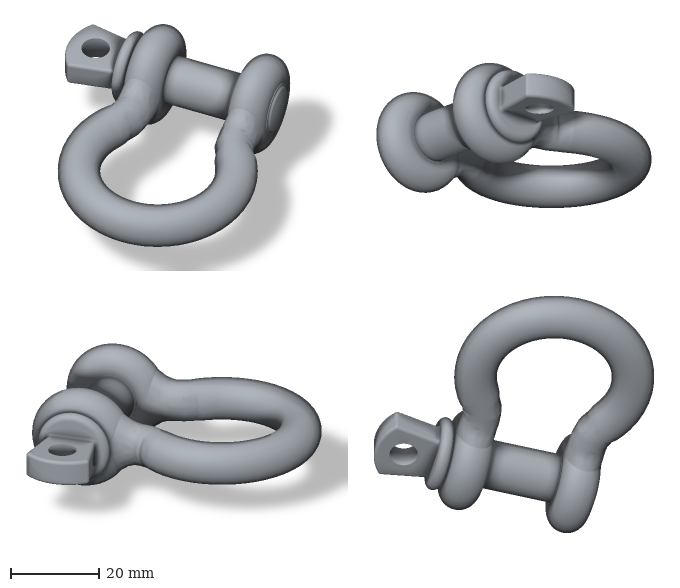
import cadquery as cq
import math


eye_radius = 11.675
eye_width = 8.72
eye_round = eye_width / 2
eye_offset = 12.72
pad_radius = 6.15
pad_height = 0.15

bar_radius = 4.82
bow_radius = 17.86
bow_length = 63.5
bow_center_y = eye_radius - bow_length + bow_radius + bar_radius
bow_end_angle = 30.0

flare_radius = 6.5
flare_center_z = bar_radius + flare_radius
flare_end_y = -math.sqrt((eye_radius + flare_radius) ** 2 - flare_center_z ** 2)
neck_top_y = eye_round - eye_radius
flare_top_y = flare_end_y * eye_radius / (eye_radius + flare_radius)

bend_radius = 10.5
leg_half_width = eye_round - 0.03
bend_angle = math.radians(bow_end_angle)
bow_end_x = bow_radius * math.cos(bend_angle)
bow_end_y = bow_center_y + bow_radius * math.sin(bend_angle)
bend_shift = bend_radius * (1 - math.cos(bend_angle))
straight_run = (bow_end_x - eye_offset - bend_shift) / math.sin(bend_angle)
bend_start_y = bow_end_y + straight_run * math.cos(bend_angle)
bend_end_y = bend_start_y + bend_radius * math.sin(bend_angle)
taper_sections = 4
bend_sections = 5
neck_sections = 4

pin_radius = 5.61
pin_tip_x = 18.16
pin_dome_height = 0.49
pin_end_chamfer = 0.5
collar_radius = 8.42
collar_width = 2.88
collar_gap = 0.38
collar_inner_x = -eye_offset - eye_width / 2 - collar_gap
collar_outer_x = collar_inner_x - collar_width

tab_end_x = -33.84
tab_corner_x = -30.95
tab_neck_x = -21.0
tab_tip_half_width = 7.5
tab_neck_half_width = 5.67
tab_thickness = 5.85
tab_edge_round = 0.75
tab_base_round = 0.64
tab_hole_diameter = 6.45
tab_hole_x = -27.22


def make_eye():
    """Disc with a fully rounded rim, centred on the pin axis at X = eye_offset."""
    rim_start = eye_radius - eye_round
    inner_x = eye_offset - eye_round
    outer_x = eye_offset + eye_round
    return (
        cq.Workplane("XY")
        .moveTo(inner_x, 0)
        .lineTo(inner_x, rim_start)
        .threePointArc((eye_offset, eye_radius), (outer_x, rim_start))
        .lineTo(outer_x, 0)
        .close()
        .revolve(360, (0, 0, 0), (1, 0, 0))
    )


def neck_half_height(y):
    """Half height of the leg: the bar radius, flaring along an arc tangent to the eye."""
    along = min(max(y, flare_end_y), flare_top_y) - flare_end_y
    return flare_center_z - math.sqrt(flare_radius ** 2 - along ** 2)


def leg_section(x, y, angle, half_width):
    """Ellipse square to the leg, whose direction leans from +Y toward -X by angle."""
    return cq.Wire.makeEllipse(
        neck_half_height(y),
        half_width,
        cq.Vector(x, y, 0),
        cq.Vector(-math.sin(angle), math.cos(angle), 0),
        cq.Vector(0, 0, 1),
    )


def make_leg():
    """Leg from the end of the bow to the inside of the eye, on the +X side."""
    sections = []
    for i in range(taper_sections):
        fraction = i / taper_sections
        x = bow_end_x - straight_run * math.sin(bend_angle) * fraction
        y = bow_end_y + straight_run * math.cos(bend_angle) * fraction
        half_width = bar_radius + (leg_half_width - bar_radius) * fraction ** 2
        sections.append(leg_section(x, y, bend_angle, half_width))
    for i in range(bend_sections):
        angle = bend_angle * (1 - i / (bend_sections - 1))
        x = eye_offset + bend_radius * (1 - math.cos(angle))
        y = bend_end_y - bend_radius * math.sin(angle)
        sections.append(leg_section(x, y, angle, leg_half_width))
    for i in range(1, neck_sections + 1):
        y = bend_end_y + (neck_top_y - bend_end_y) * i / neck_sections
        sections.append(leg_section(eye_offset, y, 0, leg_half_width))
    return cq.Workplane(cq.Solid.makeLoft(sections))


def make_bow():
    """Round bar bent around the bow centre, open between the two legs."""
    start = cq.Vector(bow_end_x, bow_end_y, 0)
    along = cq.Vector(-math.sin(bend_angle), math.cos(bend_angle), 0)
    return (
        cq.Workplane(cq.Plane(start, cq.Vector(0, 0, 1), along))
        .circle(bar_radius)
        .revolve(
            180 + 2 * bow_end_angle,
            (1, -bow_radius, 0),
            (0, -bow_radius, 0),
        )
    )


def make_shackle():
    side = make_eye().union(make_leg())
    pad = (
        cq.Workplane("YZ", origin=(eye_offset, 0, 0))
        .circle(pad_radius)
        .extrude(eye_width / 2 + pad_height, both=True)
    )
    bore = cq.Workplane("YZ").circle(pin_radius).extrude(2 * eye_offset, both=True)
    return make_bow().union(side).union(side.mirror("YZ")).union(pad).cut(bore)


def make_pin_shaft():
    """Shaft with its rounded collar and a chamfered, slightly domed tip."""
    tip_radius = pin_radius - pin_end_chamfer
    dome_base_x = pin_tip_x - pin_dome_height
    dome_radius = (tip_radius ** 2 + pin_dome_height ** 2) / (2 * pin_dome_height)
    dome_mid_r = tip_radius / 2
    dome_mid_x = pin_tip_x - dome_radius + math.sqrt(dome_radius ** 2 - dome_mid_r ** 2)
    collar_round = collar_width / 2
    rim_start = collar_radius - collar_round
    return (
        cq.Workplane("XY")
        .moveTo(collar_outer_x, 0)
        .lineTo(collar_outer_x, rim_start)
        .threePointArc((collar_outer_x + collar_round, collar_radius), (collar_inner_x, rim_start))
        .lineTo(collar_inner_x, pin_radius)
        .lineTo(dome_base_x - pin_end_chamfer, pin_radius)
        .lineTo(dome_base_x, tip_radius)
        .threePointArc((dome_mid_x, dome_mid_r), (pin_tip_x, 0))
        .close()
        .revolve(360, (0, 0, 0), (1, 0, 0))
    )


def make_tab():
    """Flared flat tab with a rounded end, softened edges and a cross hole."""
    tab = (
        cq.Workplane("XY")
        .moveTo(collar_outer_x, -tab_neck_half_width)
        .lineTo(tab_neck_x, -tab_neck_half_width)
        .lineTo(tab_corner_x, -tab_tip_half_width)
        .threePointArc((tab_end_x, 0), (tab_corner_x, tab_tip_half_width))
        .lineTo(tab_neck_x, tab_neck_half_width)
        .lineTo(collar_outer_x, tab_neck_half_width)
        .close()
        .extrude(tab_thickness / 2, both=True)
    )
    end_corners = cq.selectors.BoxSelector(
        (tab_corner_x - 1, -eye_radius, -tab_thickness),
        (tab_corner_x + 1, eye_radius, tab_thickness),
    )
    tab = tab.edges("|Z").edges(end_corners).fillet(tab_edge_round)
    tab = tab.faces("|Z").edges("not(>X)").fillet(tab_edge_round)
    hole = (
        cq.Workplane("XY", origin=(tab_hole_x, 0, 0))
        .circle(tab_hole_diameter / 2)
        .extrude(tab_thickness, both=True)
    )
    return tab.cut(hole)


def make_pin():
    pin = make_pin_shaft().union(make_tab())
    near_base = cq.selectors.BoxSelector(
        (collar_outer_x - 0.01, -tab_tip_half_width, -tab_thickness),
        (collar_outer_x + 0.01, tab_tip_half_width, tab_thickness),
        boundingbox=True,
    )
    base_edges = pin.edges(near_base).edges("not %CIRCLE")
    return base_edges.fillet(tab_base_round)


shackle = make_shackle()
pin = make_pin()

result = cq.Compound.makeCompound([shackle.val(), pin.val()])